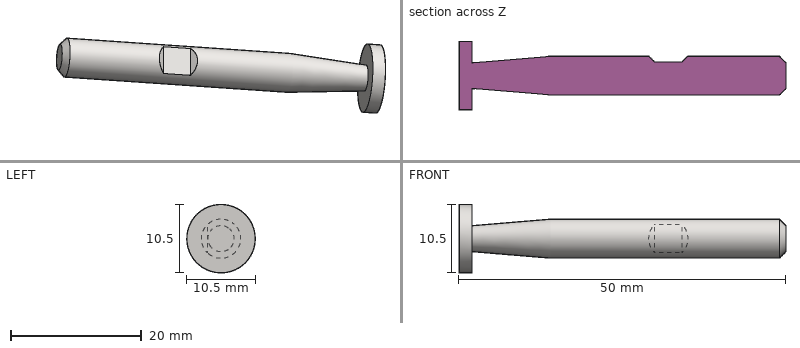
import cadquery as cq

total_length = 50.0
head_diameter = 10.5
head_thickness = 2.0
neck_diameter = 4.0
shank_diameter = 6.0
shank_start = 14.0
tip_chamfer = 1.0

flat_start = 29.9
flat_length = 4.2
flat_depth = 0.9

head_radius = head_diameter / 2
neck_radius = neck_diameter / 2
shank_radius = shank_diameter / 2


def turned_body():
    """Disc head, tapered neck and chamfered cylindrical shank in one revolve."""
    profile = (
        cq.Workplane("XZ")
        .moveTo(0, 0)
        .lineTo(0, head_radius)
        .lineTo(head_thickness, head_radius)
        .lineTo(head_thickness, neck_radius)
        .lineTo(shank_start, shank_radius)
        .lineTo(total_length - tip_chamfer, shank_radius)
        .lineTo(total_length, shank_radius - tip_chamfer)
        .lineTo(total_length, 0)
        .close()
    )
    return profile.revolve(360, (0, 0, 0), (1, 0, 0))


def flat_cutter():
    """Trapezoidal prism along Z that mills the clamping flat."""
    flat_end = flat_start + flat_length
    floor_y = shank_radius - flat_depth
    profile = (
        cq.Workplane("XY")
        .moveTo(flat_start, floor_y)
        .lineTo(flat_end, floor_y)
        .lineTo(flat_end + flat_depth, shank_radius)
        .lineTo(flat_start - flat_depth, shank_radius)
        .close()
    )
    return profile.extrude(shank_radius, both=True)


result = turned_body().cut(flat_cutter())